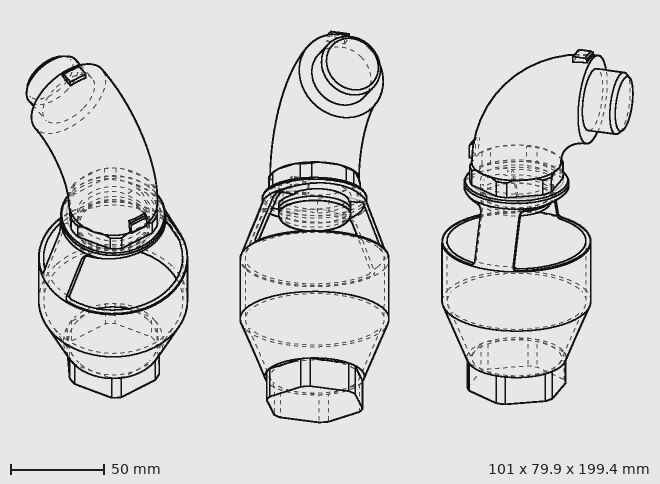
import cadquery as cq
import math


TOP_Z = 199.4

CUP_RADIUS = 39.97
CUP_WALL = 2.7
SOCKET_HEIGHT = 16.1
CONE_FOOT_RADIUS = 26.7
CUP_SHOULDER_Z = 49.2
STRUT_FOOT_Z = 84.0

SOCKET_FLATS = 48.2
SOCKET_CORNER_RADIUS = 26.5

RING_RADIUS = 28.1
RING_UNDERSIDE_Z = 115.5
RING_TOP_Z = 120.6
RING_SEAT_RADIUS = 25.1
RING_TOP_DROP = 0.5
RING_CHAMFER_WIDTH = 0.5
RING_CHAMFER_HEIGHT = 1.2

CAVITY_TOP_Z = 114.8
STRUT_WALL = 2.0

STRUT_WIDTH = 21.7
WINDOW_SILL_Z = 84.5
WINDOW_HEAD_Z = 116.8
WINDOW_HEAD_ARCH_RADIUS = 149.5
WINDOW_SILL_FILLET = 2.0
WINDOW_HEAD_FILLET = 3.0
WINDOW_OVERCUT = 2.0

SPIGOT_RADIUS = 19.3
SPIGOT_END_Z = 106.5
SPIGOT_FILLET = 3.5
GROOVE_RADIUS = 1.2

HEX_FLATS = 46.3
HEX_CORNER_RADIUS = 25.1
HEX_CHAMFER = 1.2

BEND_RADIUS = 43.0
PIPE_RADIUS = 24.0
INLET_RADIUS = 16.7
INLET_LENGTH = 18.0
INLET_CHAMFER_LENGTH = 2.4
INLET_CHAMFER_DEPTH = 2.0

TOP_PAD_HEIGHT = 2.0
SIDE_PAD_HEIGHT = 1.2
PAD_LENGTH = 8.0
PAD_WIDTH = 10.0
PAD_END_GAP = 1.4
PAD_ROOT_DEPTH = 6.0
PAD_BEVEL_LENGTH = 1.2
PAD_BEVEL_DEPTH = 0.5

INLET_Z = TOP_Z - TOP_PAD_HEIGHT - PIPE_RADIUS
BEND_Z = INLET_Z - BEND_RADIUS


def turned(points):
    """Solid of revolution about Z from (radius, z) points."""
    return cq.Workplane("XZ").polyline(points).close().revolve(360, (0, 0), (0, 1))


def rounded_hexagon(flats, corner_radius, z_low, height):
    """Upright hexagonal prism with flats facing +X and -X, and its corners turned to a radius."""
    across_corners = flats / math.cos(math.pi / 6)
    prism = (
        cq.Workplane("XY", origin=(0, 0, z_low))
        .polygon(6, across_corners)
        .extrude(height)
        .rotate((0, 0, 0), (0, 0, 1), 30)
    )
    corner_turning = cq.Workplane("XY", origin=(0, 0, z_low)).circle(corner_radius).extrude(height)
    return prism.intersect(corner_turning)


def window(side):
    """Opening beside the struts, on the +X (side = 1) or -X (side = -1) half, arched across Y."""
    jamb_x = side * STRUT_WIDTH / 2
    half_span = CUP_RADIUS + WINDOW_OVERCUT
    arch_drop = WINDOW_HEAD_ARCH_RADIUS - math.sqrt(WINDOW_HEAD_ARCH_RADIUS**2 - half_span**2)
    springing_z = WINDOW_HEAD_Z - arch_drop
    opening = (
        cq.Workplane("YZ", origin=(jamb_x, 0, 0))
        .moveTo(-half_span, WINDOW_SILL_Z)
        .lineTo(half_span, WINDOW_SILL_Z)
        .lineTo(half_span, springing_z)
        .threePointArc((0, WINDOW_HEAD_Z), (-half_span, springing_z))
        .close()
        .extrude(side * half_span)
    )
    sill_corner = cq.selectors.NearestToPointSelector((jamb_x, 0, WINDOW_SILL_Z))
    head_corner = cq.selectors.NearestToPointSelector((jamb_x, 0, WINDOW_HEAD_Z))
    opening = opening.edges(sill_corner).fillet(WINDOW_SILL_FILLET)
    return opening.edges(head_corner).fillet(WINDOW_HEAD_FILLET)


def build_funnel():
    """Socket, cup, two struts and ring, in one piece."""
    ring_edge_z = RING_TOP_Z - RING_TOP_DROP
    shell = turned(
        [
            (0, SOCKET_HEIGHT),
            (CONE_FOOT_RADIUS, SOCKET_HEIGHT),
            (CUP_RADIUS, CUP_SHOULDER_Z),
            (CUP_RADIUS, STRUT_FOOT_Z),
            (RING_RADIUS, RING_UNDERSIDE_Z),
            (RING_RADIUS, ring_edge_z - RING_CHAMFER_HEIGHT),
            (RING_RADIUS - RING_CHAMFER_WIDTH, ring_edge_z),
            (RING_SEAT_RADIUS, RING_TOP_Z),
            (0, RING_TOP_Z),
        ]
    )
    cavity_radius = CUP_RADIUS - CUP_WALL
    strut_lean = (CUP_RADIUS - RING_RADIUS) / (RING_UNDERSIDE_Z - STRUT_FOOT_Z)
    strut_inner_foot_z = STRUT_FOOT_Z + (CUP_WALL - STRUT_WALL) / strut_lean
    strut_inner_top_radius = cavity_radius - strut_lean * (CAVITY_TOP_Z - strut_inner_foot_z)
    cavity = turned(
        [
            (0, SOCKET_HEIGHT),
            (CONE_FOOT_RADIUS - CUP_WALL, SOCKET_HEIGHT),
            (cavity_radius, CUP_SHOULDER_Z),
            (cavity_radius, strut_inner_foot_z),
            (strut_inner_top_radius, CAVITY_TOP_Z),
            (0, CAVITY_TOP_Z),
        ]
    )
    ring_bore = (
        cq.Workplane("XY", origin=(0, 0, CAVITY_TOP_Z))
        .circle(SPIGOT_RADIUS)
        .extrude(RING_TOP_Z - CAVITY_TOP_Z)
    )
    socket = rounded_hexagon(SOCKET_FLATS, SOCKET_CORNER_RADIUS, 0, SOCKET_HEIGHT)
    body = shell.cut(cavity).cut(ring_bore).union(socket)
    for side in (1, -1):
        body = body.cut(window(side))
    return body


def build_spigot():
    """Round plug that fills the ring bore, with a groove below the ring."""
    groove_low_z = SPIGOT_END_Z + SPIGOT_FILLET
    groove_high_z = groove_low_z + 2 * GROOVE_RADIUS
    fillet_inset = SPIGOT_FILLET * (1 - math.sqrt(0.5))
    fillet_middle = (SPIGOT_RADIUS - fillet_inset, SPIGOT_END_Z + fillet_inset)
    return (
        cq.Workplane("XZ")
        .moveTo(0, SPIGOT_END_Z)
        .lineTo(SPIGOT_RADIUS - SPIGOT_FILLET, SPIGOT_END_Z)
        .threePointArc(fillet_middle, (SPIGOT_RADIUS, groove_low_z))
        .threePointArc(
            (SPIGOT_RADIUS - GROOVE_RADIUS, groove_low_z + GROOVE_RADIUS),
            (SPIGOT_RADIUS, groove_high_z),
        )
        .lineTo(SPIGOT_RADIUS, RING_TOP_Z)
        .lineTo(0, RING_TOP_Z)
        .close()
        .revolve(360, (0, 0), (0, 1))
    )


def build_hexagon():
    """Wrench hexagon resting on the ring, its upper corners chamfered down to the pipe."""
    hexagon = rounded_hexagon(HEX_FLATS, HEX_CORNER_RADIUS, RING_TOP_Z, BEND_Z - RING_TOP_Z)
    chamfered_blank = turned(
        [
            (0, RING_TOP_Z),
            (HEX_CORNER_RADIUS, RING_TOP_Z),
            (HEX_CORNER_RADIUS, BEND_Z - HEX_CHAMFER),
            (PIPE_RADIUS, BEND_Z),
            (0, BEND_Z),
        ]
    )
    return hexagon.intersect(chamfered_blank)


def build_bend():
    """Quarter-turn pipe from the hexagon to the inlet face."""
    return (
        cq.Workplane("XY", origin=(0, 0, BEND_Z))
        .circle(PIPE_RADIUS)
        .revolve(90, (-BEND_RADIUS, 0), (-BEND_RADIUS, -1))
    )


def build_inlet():
    """Solid inlet stub with a chamfered end, pointing to -X."""
    chamfer_start = INLET_LENGTH - INLET_CHAMFER_LENGTH
    stub = turned(
        [
            (0, 0),
            (INLET_RADIUS, 0),
            (INLET_RADIUS, chamfer_start),
            (INLET_RADIUS - INLET_CHAMFER_DEPTH, INLET_LENGTH),
            (0, INLET_LENGTH),
        ]
    )
    return stub.rotate((0, 0, 0), (0, 1, 0), -90).translate((-BEND_RADIUS, 0, INLET_Z))


def pad(height):
    """Pad rooted in the pipe wall, rising to a height above Z = 0, with its -X end at X = 0 bevelled."""
    return (
        cq.Workplane("XZ")
        .polyline(
            [
                (0, -PAD_ROOT_DEPTH),
                (PAD_LENGTH, -PAD_ROOT_DEPTH),
                (PAD_LENGTH, height),
                (PAD_BEVEL_LENGTH, height),
                (0, height - PAD_BEVEL_DEPTH),
            ]
        )
        .close()
        .extrude(PAD_WIDTH / 2, both=True)
    )


def build_pads():
    """Pads at both ends of the bend: one on top by the inlet, one on the +X side by the hexagon."""
    top_pad = pad(TOP_PAD_HEIGHT).translate((PAD_END_GAP - BEND_RADIUS, 0, INLET_Z + PIPE_RADIUS))
    side_pad = pad(SIDE_PAD_HEIGHT).rotate((0, 0, 0), (0, 1, 0), 90)
    side_pad = side_pad.translate((PIPE_RADIUS, 0, BEND_Z + PAD_END_GAP + PAD_LENGTH))
    return top_pad.union(side_pad)


def build_elbow():
    """Spigot, hexagon, bend, inlet and pads, in one piece."""
    return build_spigot().union(build_hexagon()).union(build_bend()).union(build_inlet()).union(build_pads())


funnel = build_funnel()
elbow = build_elbow()

result = cq.Compound.makeCompound([funnel.val(), elbow.val()])